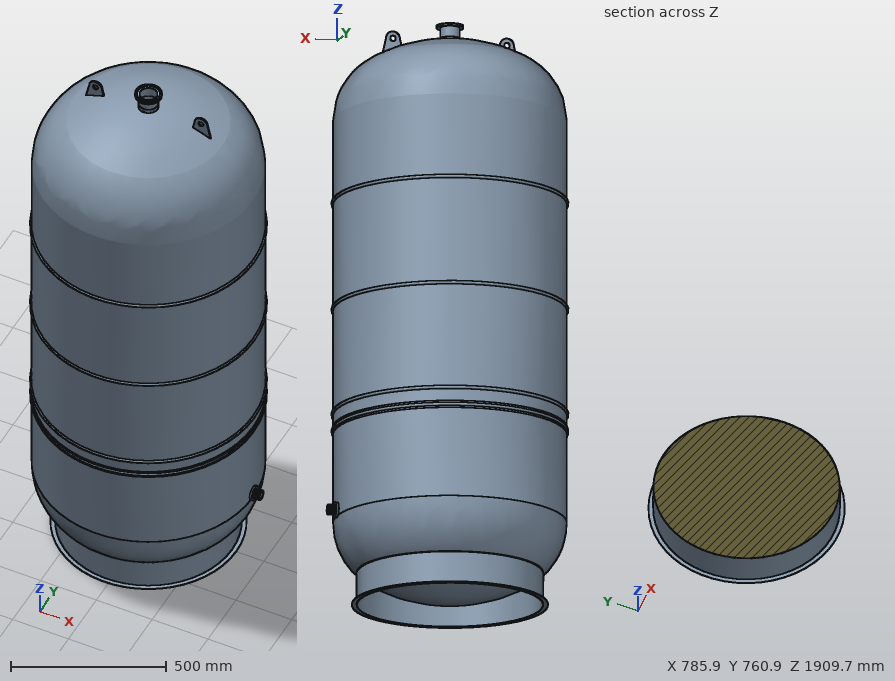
import cadquery as cq
import math

total_height = 1909.67

shell_radius = 375.0
shell_bottom_z = 270.0
shell_top_z = 1596.0
head_depth = 258.5
knuckle_radius = 218.0
knuckle_center_radius = shell_radius - knuckle_radius
crown_radius = (knuckle_center_radius**2 + head_depth**2 - knuckle_radius**2) / (
    2 * (head_depth - knuckle_radius)
)
vessel_top_z = shell_top_z + head_depth

bead_outer_radius = 760.87 / 2
bead_height = 11.0
bead_levels = [572.0, 628.0, 973.5, 1324.0]

lower_shell_radius = 375.5
seam_strip_radius = 376.5
seam_strip_height = 23.0

overlap = 20.0

skirt_outer_radius = 300.0
skirt_inner_radius = 298.0
skirt_flange_radius = 315.0
skirt_flange_thickness = 2.0

nozzle_neck_radius = 63.34 / 2
nozzle_collar_radius = 65.34 / 2
nozzle_bore_radius = 28.5
nozzle_flange_radius = 86.81 / 2
nozzle_flange_thickness = 7.0
nozzle_seat_radius = 37.0
nozzle_seat_depth = 2.0
nozzle_collar_top_z = 1868.0

port_radius = 12.26 / 2
port_depth = 40.0

lug_spacing = 378.0
lug_hole_z = 1857.0
lug_hole_radius = 9.0
lug_end_radius = 23.0
lug_thickness = 5.0
lug_base_half_width = 37.0
lug_base_z = 1795.0

connection_z = 290.0
overall_length_x = 785.9
connection_end_x = overall_length_x - bead_outer_radius
thread_major_radius = 33.25 / 2
thread_minor_radius = 30.25 / 2
thread_pitch = 2.309
thread_turns = 10
connection_collar_radius = 25.0


def head_points(base_z, direction):
    """Knuckle middle, knuckle-crown joint, crown middle and apex of a head."""
    joint_angle = math.asin(knuckle_center_radius / (crown_radius - knuckle_radius))
    crown_center_z = base_z + direction * (head_depth - crown_radius)

    def knuckle_point(angle):
        return (
            knuckle_center_radius + knuckle_radius * math.sin(angle),
            base_z + direction * knuckle_radius * math.cos(angle),
        )

    def crown_point(angle):
        return (
            crown_radius * math.sin(angle),
            crown_center_z + direction * crown_radius * math.cos(angle),
        )

    return (
        knuckle_point((joint_angle + math.pi / 2) / 2),
        knuckle_point(joint_angle),
        crown_point(joint_angle / 2),
        crown_point(0),
    )


def revolve(profile):
    """Close a profile of radius against height and turn it round the Z axis."""
    return profile.close().revolve(360, (0, 0, 0), (0, 1, 0))


def disc(radius, bottom_z, height):
    return cq.Workplane("XY", origin=(0, 0, bottom_z)).circle(radius).extrude(height)


def make_tank():
    """Cylinder and heads, before the beads and the port."""
    knuckle_low, joint_low, crown_low, apex_low = head_points(shell_bottom_z, -1)
    knuckle_up, joint_up, crown_up, apex_up = head_points(shell_top_z, 1)
    return revolve(
        cq.Workplane("XZ")
        .moveTo(*apex_low)
        .threePointArc(crown_low, joint_low)
        .threePointArc(knuckle_low, (shell_radius, shell_bottom_z))
        .lineTo(shell_radius, shell_top_z)
        .threePointArc(knuckle_up, joint_up)
        .threePointArc(crown_up, apex_up)
    )


def make_bead(level):
    bottom_z = level - bead_height / 2
    top_z = level + bead_height / 2
    return revolve(
        cq.Workplane("XZ")
        .moveTo(shell_radius - overlap, bottom_z)
        .lineTo(shell_radius, bottom_z)
        .threePointArc((bead_outer_radius, level), (shell_radius, top_z))
        .lineTo(shell_radius - overlap, top_z)
    )


def make_vessel(tank):
    lower_shell = disc(lower_shell_radius, shell_bottom_z, bead_levels[-1] - shell_bottom_z)
    seam_strip = disc(seam_strip_radius, bead_levels[0] - seam_strip_height / 2, seam_strip_height)
    vessel = tank.union(lower_shell).union(seam_strip)
    for level in bead_levels:
        vessel = vessel.union(make_bead(level))
    port = disc(port_radius, vessel_top_z - port_depth, port_depth)
    return vessel.cut(port)


def make_skirt(tank):
    tube = disc(skirt_outer_radius, 0, shell_bottom_z)
    flange = disc(skirt_flange_radius, 0, skirt_flange_thickness)
    bore = disc(skirt_inner_radius, 0, shell_bottom_z)
    return tube.union(flange).cut(bore).cut(tank)


def make_nozzle(tank):
    base_z = vessel_top_z - overlap
    flange_base_z = total_height - nozzle_flange_thickness
    seat_z = total_height - nozzle_seat_depth
    return revolve(
        cq.Workplane("XZ")
        .moveTo(nozzle_bore_radius, base_z)
        .lineTo(nozzle_collar_radius, base_z)
        .lineTo(nozzle_collar_radius, nozzle_collar_top_z)
        .lineTo(nozzle_neck_radius, nozzle_collar_top_z)
        .lineTo(nozzle_neck_radius, flange_base_z)
        .lineTo(nozzle_flange_radius, flange_base_z)
        .lineTo(nozzle_flange_radius, total_height)
        .lineTo(nozzle_seat_radius, total_height)
        .lineTo(nozzle_seat_radius, seat_z)
        .lineTo(nozzle_bore_radius, seat_z)
    ).cut(tank)


def make_lug(center_x, tank):
    """Plate with a rounded top round its hole, widening down to the crown."""
    base_drop = lug_base_z - lug_hole_z
    return (
        cq.Workplane("XZ", origin=(center_x, 0, lug_hole_z))
        .moveTo(-lug_end_radius, 0)
        .threePointArc((0, lug_end_radius), (lug_end_radius, 0))
        .lineTo(lug_base_half_width, base_drop)
        .lineTo(-lug_base_half_width, base_drop)
        .close()
        .moveTo(0, 0)
        .circle(lug_hole_radius)
        .extrude(lug_thickness / 2, both=True)
        .cut(tank)
    )


def make_connection(vessel):
    """Collar against the shell with a threaded stub, the thread modelled as separate V-rings."""
    thread_start_x = connection_end_x - thread_turns * thread_pitch
    root_x = shell_radius - overlap
    profile = (
        cq.Workplane("XY")
        .moveTo(root_x, 0)
        .lineTo(root_x, connection_collar_radius)
        .lineTo(thread_start_x, connection_collar_radius)
        .lineTo(thread_start_x, thread_minor_radius)
    )
    for turn in range(thread_turns):
        turn_x = thread_start_x + turn * thread_pitch
        profile = profile.lineTo(turn_x + thread_pitch / 2, thread_major_radius)
        profile = profile.lineTo(turn_x + thread_pitch, thread_minor_radius)
    fitting = profile.lineTo(connection_end_x, 0).close().revolve(360, (0, 0, 0), (1, 0, 0))
    return fitting.translate((0, 0, connection_z)).cut(vessel)


tank = make_tank()
vessel = make_vessel(tank)
skirt = make_skirt(tank)
nozzle = make_nozzle(tank)
lugs = [make_lug(side * lug_spacing / 2, tank) for side in (-1, 1)]
connection = make_connection(vessel)

result = cq.Compound.makeCompound(
    [vessel.val(), skirt.val(), nozzle.val(), *[lug.val() for lug in lugs], connection.val()]
)